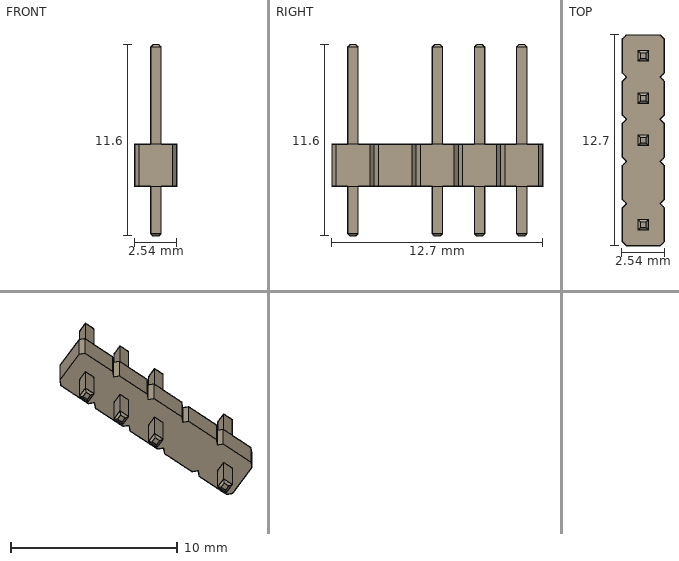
import cadquery as cq

pitch = 2.54
cell_count = 5
corner_bevel = 0.25
housing_height = pitch

pin_width = 0.64
pin_length = 11.55
tail_length = 3.0
tip_bevel = 0.15
empty_cells = (1,)


def cell_center_y(index):
    """Y position of a cell, with the row centred on the origin."""
    return (index - (cell_count - 1) / 2) * pitch


def make_cell(index):
    """One housing cell; bevels of adjoining cells form the V notches."""
    return (
        cq.Workplane("XY")
        .center(0, cell_center_y(index))
        .rect(pitch, pitch)
        .extrude(housing_height)
        .edges("|Z")
        .chamfer(corner_bevel)
    )


def make_pin(index):
    """One square pin with all four edges of both ends bevelled."""
    return (
        cq.Workplane("XY", origin=(0, 0, -tail_length))
        .center(0, cell_center_y(index))
        .rect(pin_width, pin_width)
        .extrude(pin_length)
        .faces("<Z or >Z")
        .chamfer(tip_bevel)
    )


result = make_cell(0)
for cell in range(1, cell_count):
    result = result.union(make_cell(cell))

for cell in range(cell_count):
    if cell not in empty_cells:
        result = result.union(make_pin(cell))